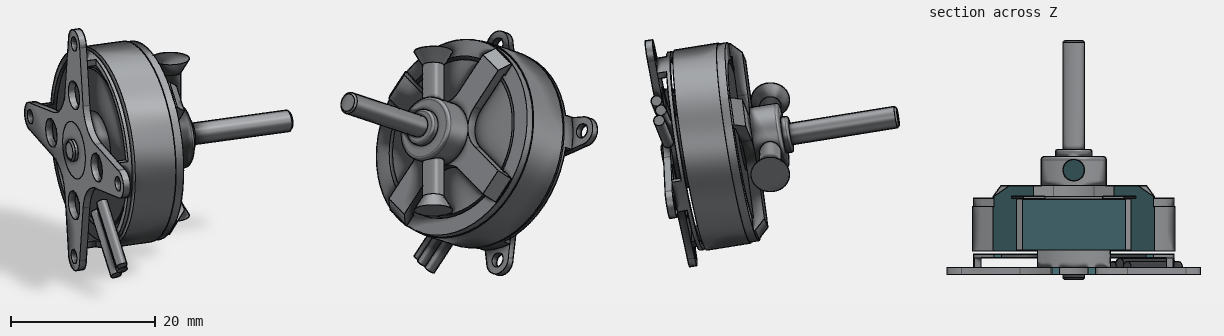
import cadquery as cq
import math


ARM_COUNT = 4
SPAN = 35.0
PLATE_THICKNESS = 1.0
TIP_RADIUS = 2.0
TIP_CENTER = SPAN / 2 - TIP_RADIUS
ROOT_CORNER = 3.75
ROOT_FILLET = 5.0
SCREW_HOLE_DIAMETER = 2.0
LARGE_HOLE_DIAMETER = 4.0
LARGE_HOLE_CENTER = 8.0
RING_START = 2.3
RING_END = 2.85
RING_OUTER_DIAMETER = 27.72
RING_INNER_DIAMETER = 26.0
POST_WIDTH = 4.65

TUBE_DIAMETER = 8.0
COLLAR_DIAMETER = 10.08
CORE_DIAMETER = 22.0
CORE_START = 3.4

BELL_START = 3.25
BELL_STEP = 9.38
BELL_END = 10.57
BELL_DIAMETER = 28.0
BELL_CAP_DIAMETER = RING_OUTER_DIAMETER
BELL_BORE_DIAMETER = 23.0
SPIDER_START = 10.8
SPIDER_END = 12.3
SPIDER_BASE_REACH = 13.72
SPIDER_TOP_REACH = 12.2
SPIDER_ARM_WIDTH = 4.0
SPIDER_FILLET = 4.0
FOOT_INNER_DIAMETER = 24.0
HUB_END = 16.3
HUB_DIAMETER = 9.0
HUB_FILLET = 0.45
NOSE_END = 17.3
NOSE_DIAMETER = 5.05
NOSE_FILLET = 0.35
CROSS_SCREW_Y = 14.42
CROSS_SCREW_REACH = 11.45
CROSS_SCREW_DIAMETER = 2.98
CROSS_SCREW_HEAD_DIAMETER = 5.32
CROSS_SCREW_HEAD_HEIGHT = 1.95
SHAFT_DIAMETER = 3.0
SHAFT_START = -0.7
SHAFT_LENGTH = 33.0
SHAFT_CHAMFER = 0.28

WIRE_DIAMETER = 1.5
WIRE_START = 9.0
WIRE_LENGTH = 10.0
MIDDLE_WIRE_Y = 1.5
OUTER_WIRE_Y = 1.05

DIAGONAL = 180 / ARM_COUNT

CORE_END = BELL_END - (CORE_START - BELL_START)


def sketch_at(y):
    """Workplane facing -Y at the given height along the shaft."""
    return cq.Workplane("XZ", origin=(0, y, 0))


def disc(diameter, y_start, y_end):
    """Cylinder on the motor axis."""
    return sketch_at(y_start).circle(diameter / 2).extrude(y_start - y_end)


def tube(outer_diameter, inner_diameter, y_start, y_end):
    """Hollow cylinder on the motor axis."""
    return disc(outer_diameter, y_start, y_end).cut(disc(inner_diameter, y_start, y_end))


def turned(shape, angle):
    """Copy of a shape turned about the motor axis."""
    return shape.rotate((0, 0, 0), (0, 1, 0), angle)


def around(shape, count=ARM_COUNT):
    """Union of equally spaced copies of a shape around the motor axis."""
    ring = shape
    for copy in range(1, count):
        ring = ring.union(turned(shape, copy * 360 / count))
    return ring


def round_inner_corners(cross, reach, radius):
    """Fillet the edges along Y that lie within a square of half-width `reach` about the axis."""
    near_axis = cq.selectors.BoxSelector((-reach, -SPAN, -reach), (reach, SPAN, reach))
    return cross.edges("|Y").edges(near_axis).fillet(radius)


def plate_blank():
    """Four tapered arms with round tips, blended into each other."""
    arm = (
        sketch_at(0)
        .lineTo(ROOT_CORNER, -ROOT_CORNER)
        .lineTo(TIP_CENTER, -TIP_RADIUS)
        .threePointArc((TIP_CENTER + TIP_RADIUS, 0), (TIP_CENTER, TIP_RADIUS))
        .lineTo(ROOT_CORNER, ROOT_CORNER)
        .close()
        .extrude(-PLATE_THICKNESS)
    )
    return round_inner_corners(around(arm), TIP_CENTER / 2, ROOT_FILLET)


def plate_hole(diameter, distance):
    """Cutter for one hole in the arm that points along +X."""
    return sketch_at(0).center(distance, 0).circle(diameter / 2).extrude(-PLATE_THICKNESS)


def ring_posts():
    """Four posts that stand on the plate arms and follow the ring."""
    band = tube(RING_OUTER_DIAMETER, RING_INNER_DIAMETER, PLATE_THICKNESS, RING_START)
    strip = (
        sketch_at(PLATE_THICKNESS)
        .center(SPAN / 4, 0)
        .rect(SPAN / 2, POST_WIDTH)
        .extrude(PLATE_THICKNESS - RING_START)
    )
    return band.intersect(around(strip))


def make_mount():
    """Plate with its screw holes, posts and ring."""
    return (
        plate_blank()
        .cut(around(plate_hole(SCREW_HOLE_DIAMETER, TIP_CENTER)))
        .cut(around(plate_hole(LARGE_HOLE_DIAMETER, LARGE_HOLE_CENTER)))
        .cut(disc(TUBE_DIAMETER, 0, PLATE_THICKNESS))
        .union(ring_posts())
        .union(tube(RING_OUTER_DIAMETER, RING_INNER_DIAMETER, RING_START, RING_END))
    )


def make_stator():
    """Wound core on a bearing tube that runs from the plate face up to the spider."""
    return (
        disc(TUBE_DIAMETER, 0, SPIDER_START)
        .union(disc(COLLAR_DIAMETER, PLATE_THICKNESS, CORE_START))
        .union(disc(CORE_DIAMETER, CORE_START, CORE_END))
        .cut(disc(SHAFT_DIAMETER, 0, SPIDER_START))
    )


def make_bell():
    """Open ring with a slightly narrower rim at the spider end."""
    return (
        disc(BELL_DIAMETER, BELL_START, BELL_STEP)
        .union(disc(BELL_CAP_DIAMETER, BELL_STEP, BELL_END))
        .cut(disc(BELL_BORE_DIAMETER, BELL_START, BELL_END))
    )


def make_spider():
    """Four diagonal arms with sloped ends, whose feet stand on the bell."""
    arm = (
        cq.Workplane("XY")
        .moveTo(0, BELL_END)
        .lineTo(SPIDER_BASE_REACH, BELL_END)
        .lineTo(SPIDER_BASE_REACH, SPIDER_START)
        .lineTo(SPIDER_TOP_REACH, SPIDER_END)
        .lineTo(0, SPIDER_END)
        .close()
        .extrude(SPIDER_ARM_WIDTH / 2, both=True)
    )
    cross = round_inner_corners(around(arm), SPIDER_ARM_WIDTH, SPIDER_FILLET)
    under_clearance = disc(FOOT_INNER_DIAMETER, BELL_END, SPIDER_START)
    return turned(cross, DIAGONAL).cut(under_clearance)


def make_hub():
    """Stepped hub with rounded rims and a countersunk-head screw standing out on each Z side."""
    body = disc(HUB_DIAMETER, SPIDER_END, HUB_END).faces(">Y").edges().fillet(HUB_FILLET)
    nose = disc(NOSE_DIAMETER, HUB_END, NOSE_END).faces(">Y").edges().fillet(NOSE_FILLET)
    shank_radius = CROSS_SCREW_DIAMETER / 2
    half_screw_profile = (
        sketch_at(CROSS_SCREW_Y)
        .lineTo(shank_radius, 0)
        .lineTo(shank_radius, CROSS_SCREW_REACH - CROSS_SCREW_HEAD_HEIGHT)
        .lineTo(CROSS_SCREW_HEAD_DIAMETER / 2, CROSS_SCREW_REACH)
        .lineTo(0, CROSS_SCREW_REACH)
        .close()
    )
    half_screw = half_screw_profile.revolve(360, (0, 0), (0, 1))
    return body.union(nose).union(around(half_screw, 2))


def make_shaft():
    """Plain shaft, chamfered at both ends."""
    shaft = disc(SHAFT_DIAMETER, SHAFT_START, SHAFT_START + SHAFT_LENGTH)
    return shaft.edges("%CIRCLE").chamfer(SHAFT_CHAMFER)


def make_rotor():
    """All turning parts as one solid."""
    return make_bell().union(make_spider()).union(make_hub()).union(make_shaft())


def make_wire(offset, y):
    """Lead wire beside the diagonal at the given sideways offset and height along the shaft."""
    wire = (
        cq.Workplane("YZ", origin=(WIRE_START, 0, 0))
        .center(y, offset)
        .circle(WIRE_DIAMETER / 2)
        .extrude(WIRE_LENGTH)
    )
    return turned(wire, DIAGONAL)


mount = make_mount()
stator = make_stator()
rotor = make_rotor()

wire_pitch = math.sqrt(WIRE_DIAMETER**2 - (MIDDLE_WIRE_Y - OUTER_WIRE_Y) ** 2)
wires = []
for side in (-1, 0, 1):
    wire_y = OUTER_WIRE_Y if side else MIDDLE_WIRE_Y
    wires.append(make_wire(side * wire_pitch, wire_y))

result = cq.Compound.makeCompound(
    [mount.val(), stator.val(), rotor.val(), *[wire.val() for wire in wires]]
)